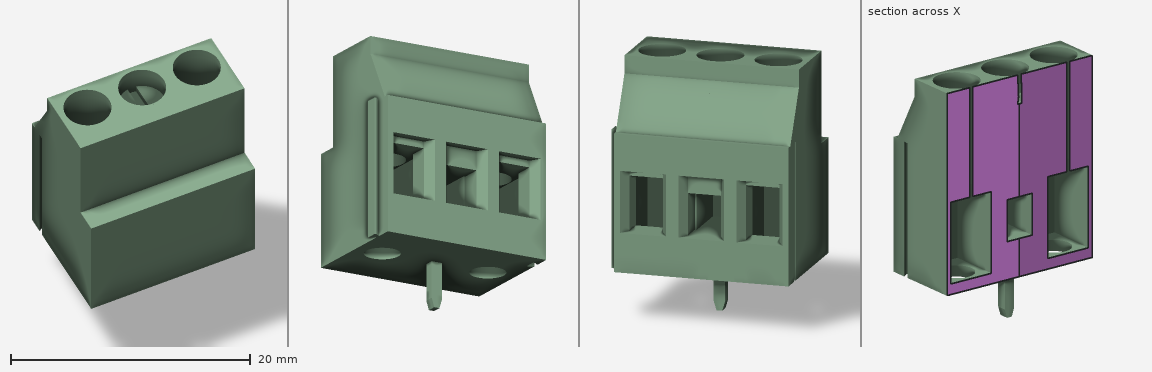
import cadquery as cq


HOUSING_LENGTH = 11.2
HOUSING_WIDTH = 15.25
HALF_WIDTH = HOUSING_WIDTH / 2
TOP_Z = 22.0
BOTTOM_Z = 4.0
ENTRY_FACE_TOP_Z = 16.0
ENTRY_LEDGE_LENGTH = 0.5
SLOPE_TOP_X = 2.9
SLOPE_TOP_Z = 20.44
REAR_STEP_X = 9.2
REAR_STEP_Z = 14.0

POLE_PITCH = 5.08
BORE_X = 5.35
BORE_DIAMETER = 4.0
OUTLET_DIAMETER = 3.1

ENTRY_WIDTH = 4.0
ENTRY_BOTTOM_Z = 7.44
ENTRY_TOP_Z = 12.8
FUNNEL_DEPTH = 0.9
PASSAGE_WIDTH = 2.9

OUTER_PASSAGE_TOP_Z = 12.2
CAVITY_FRONT_X = 2.7
CAVITY_BACK_X = 2 * BORE_X - CAVITY_FRONT_X
CAVITY_WIDTH = 4.2
FLOOR_THICKNESS = 1.0
CAVITY_FLOOR_Z = BOTTOM_Z + FLOOR_THICKNESS

MIDDLE_PASSAGE_TOP_Z = 11.1
MIDDLE_PASSAGE_END_X = 2.84
CLAMP_WIDTH = 2.57
CLAMP_BACK_X = BORE_X + BORE_DIAMETER / 2
SCREW_HEAD_DEPTH = 2.0
SCREW_SLOT_WIDTH = 0.8
SCREW_SLOT_DEPTH = 0.6
PIN_FRONT_X = 5.04
PIN_THICKNESS = 0.9
PIN_WIDTH = 1.0
PIN_TIP_WIDTH = 0.5
PIN_TAPER_HEIGHT = 0.8

DOVETAIL_X = 1.7
DOVETAIL_HEIGHT = 0.6
DOVETAIL_NECK_WIDTH = 0.46
DOVETAIL_HEAD_WIDTH = 1.08
DOVETAIL_RIM = 0.15


def block(x_start, x_end, y_center, width, z_start, z_end):
    """Box between two X and two Z positions, centred on y_center."""
    size = (x_end - x_start, width, z_end - z_start)
    corner = (x_start, y_center - width / 2, z_start)
    return cq.Workplane("XY").box(*size, centered=False).translate(corner)


def upright_cylinder(y_center, diameter, z_start, z_end):
    """Cylinder on a pole's bore axis."""
    return (
        cq.Workplane("XY", origin=(BORE_X, y_center, z_start))
        .circle(diameter / 2)
        .extrude(z_end - z_start)
    )


def housing_blank():
    """Stepped side outline, extruded over the full width."""
    outline = [
        (0, BOTTOM_Z),
        (HOUSING_LENGTH, BOTTOM_Z),
        (HOUSING_LENGTH, REAR_STEP_Z),
        (REAR_STEP_X, REAR_STEP_Z),
        (REAR_STEP_X, TOP_Z),
        (SLOPE_TOP_X, TOP_Z),
        (SLOPE_TOP_X, SLOPE_TOP_Z),
        (ENTRY_LEDGE_LENGTH, ENTRY_FACE_TOP_Z),
        (0, ENTRY_FACE_TOP_Z),
    ]
    return cq.Workplane("XZ").polyline(outline).close().extrude(HALF_WIDTH, both=True)


def entry_funnel(y_center):
    """Wire entry whose side walls narrow from the face to the passage."""
    outline = [
        (0, y_center - ENTRY_WIDTH / 2),
        (FUNNEL_DEPTH, y_center - PASSAGE_WIDTH / 2),
        (FUNNEL_DEPTH, y_center + PASSAGE_WIDTH / 2),
        (0, y_center + ENTRY_WIDTH / 2),
    ]
    return (
        cq.Workplane("XY", origin=(0, 0, ENTRY_BOTTOM_Z))
        .polyline(outline)
        .close()
        .extrude(ENTRY_TOP_Z - ENTRY_BOTTOM_Z)
    )


def outer_pole_cut(y_center):
    """Entry, inner cavity, and a bore with a smaller outlet through the bottom."""
    passage = block(
        FUNNEL_DEPTH, CAVITY_FRONT_X, y_center, PASSAGE_WIDTH, ENTRY_BOTTOM_Z, OUTER_PASSAGE_TOP_Z
    )
    cavity = block(
        CAVITY_FRONT_X, CAVITY_BACK_X, y_center, CAVITY_WIDTH, CAVITY_FLOOR_Z, OUTER_PASSAGE_TOP_Z
    )
    bore = upright_cylinder(y_center, BORE_DIAMETER, CAVITY_FLOOR_Z, TOP_Z)
    outlet = upright_cylinder(y_center, OUTLET_DIAMETER, BOTTOM_Z, CAVITY_FLOOR_Z)
    return entry_funnel(y_center).union(passage).union(cavity).union(bore).union(outlet)


def middle_pole_cut():
    """Entry with a narrower clamp opening behind it, and a bore down to the slotted screw head."""
    passage = block(
        FUNNEL_DEPTH, MIDDLE_PASSAGE_END_X, 0, PASSAGE_WIDTH, ENTRY_BOTTOM_Z, MIDDLE_PASSAGE_TOP_Z
    )
    clamp = block(
        MIDDLE_PASSAGE_END_X, CLAMP_BACK_X, 0, CLAMP_WIDTH, ENTRY_BOTTOM_Z, MIDDLE_PASSAGE_TOP_Z
    )
    head_z = TOP_Z - SCREW_HEAD_DEPTH
    bore = upright_cylinder(0, BORE_DIAMETER, head_z, TOP_Z)
    slot_span = block(
        BORE_X - BORE_DIAMETER / 2,
        BORE_X + BORE_DIAMETER / 2,
        0,
        SCREW_SLOT_WIDTH,
        head_z - SCREW_SLOT_DEPTH,
        head_z,
    )
    slot = slot_span.intersect(upright_cylinder(0, BORE_DIAMETER, head_z - SCREW_SLOT_DEPTH, head_z))
    return entry_funnel(0).union(passage).union(clamp).union(bore).union(slot)


def solder_pin():
    """Flat pin under the middle pole, tapered to a narrow tip."""
    outline = [
        (-PIN_TIP_WIDTH / 2, 0),
        (PIN_TIP_WIDTH / 2, 0),
        (PIN_WIDTH / 2, PIN_TAPER_HEIGHT),
        (PIN_WIDTH / 2, BOTTOM_Z),
        (-PIN_WIDTH / 2, BOTTOM_Z),
        (-PIN_WIDTH / 2, PIN_TAPER_HEIGHT),
    ]
    return (
        cq.Workplane("YZ", origin=(PIN_FRONT_X, 0, 0))
        .polyline(outline)
        .close()
        .extrude(PIN_THICKNESS)
    )


def dovetail(y_root):
    """Dovetail bar that widens toward +Y from y_root."""
    neck = DOVETAIL_NECK_WIDTH / 2
    head = DOVETAIL_HEAD_WIDTH / 2
    rim_start = DOVETAIL_HEIGHT - DOVETAIL_RIM
    outline = [
        (-neck, 0),
        (neck, 0),
        (head, rim_start),
        (head, DOVETAIL_HEIGHT),
        (-head, DOVETAIL_HEIGHT),
        (-head, rim_start),
    ]
    return (
        cq.Workplane("XY", origin=(DOVETAIL_X, y_root, BOTTOM_Z))
        .polyline(outline)
        .close()
        .extrude(ENTRY_FACE_TOP_Z - BOTTOM_Z)
    )


def terminal_block():
    """Whole block with rib, groove, poles and pin, before it is parted."""
    shape = housing_blank().union(dovetail(HALF_WIDTH)).cut(dovetail(-HALF_WIDTH))
    for y_center in (-POLE_PITCH, POLE_PITCH):
        shape = shape.cut(outer_pole_cut(y_center))
    return shape.cut(middle_pole_cut()).union(solder_pin())


def module_half(side):
    """Half of the block on the given side (+1 or -1) of the parting plane."""
    reach = HALF_WIDTH + DOVETAIL_HEIGHT
    envelope = block(0, HOUSING_LENGTH, side * reach / 2, reach, 0, TOP_Z)
    return terminal_block().intersect(envelope, clean=False)


groove_module = module_half(-1)
rib_module = module_half(1)

result = cq.Compound.makeCompound([groove_module.val(), rib_module.val()])